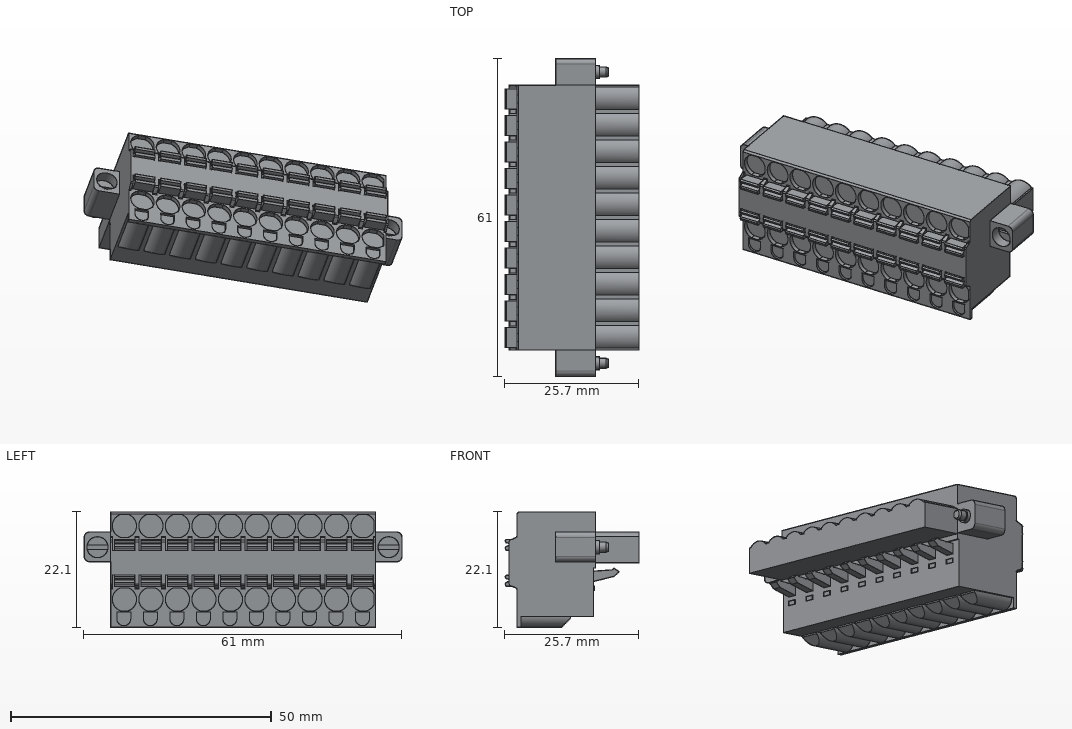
import cadquery as cq

overall_width = 60.95
overall_depth = 25.7
overall_height = 22.1

pole_count = 10
entry_shift = -0.1

body_width = 50.85
pole_pitch = body_width / pole_count
front_x = 2.25
back_x = 17.4
lower_back_x = 17.0
back_step_z = 11.35
floor_z = 2.1
lip_back_x = 3.05
edge_drop = 0.35
edge_run = 0.35

bulge_x = 0.75
bulge_mid_z = 12.4
bulge_half_height = 5.05
bulge_shoulder_half = 4.9
bulge_shoulder_x = 2.15
bulge_slope_half = 4.3
bulge_slope_x = 0.9
bulge_tip_half = 4.0

lever_width = 3.9
upper_lever_z = 14.75
lower_lever_z = 7.85
lever_height = 2.15
upper_tooth_tip = 0.25
upper_tooth_end = 0.7
groove_bottom = 0.9
lower_tooth_start = 1.4
lower_tooth_tip = 1.65
upper_bevel_run = 0.3
tooth_relief = 0.2
groove_x = 1.2
lever_slot_width = 4.25
lever_slot_shift = 0.1

entry_radius = 2.3
entry_flat_height = 4.4
entry_depth = 1.0
entry_end_wall = 0.35
upper_entry_z = 19.45
lower_entry_z = 5.35

test_radius = 1.35
test_centre_z = 1.65
test_top_z = 2.9
test_depth = 0.5
trough_back_x = 12.55
trough_bevel = 1.75

socket_bottom_z = 12.4
socket_top_z = 18.3
socket_arch_rise = 0.9
socket_arch_width = 4.3

flange_front_x = 9.7
flange_bottom_z = 12.55
flange_top_z = 18.3
flange_fillet = 1.05
screw_y = 27.9
screw_z = 15.35
head_radius = 2.0
head_recess = 2.3
drive_slot_width = 0.85
drive_slot_depth = 0.6
collar_radius = 1.3
collar_length = 0.75
shank_radius = 1.0
shank_end_x = 19.8
shank_bevel_length = 0.4
shank_bevel_inset = 0.2

hook_width = 1.8
hook_root_top_z = 10.8
hook_root_bottom_z = 8.8
hook_barb_x = 20.55
hook_barb_foot_z = 11.05
hook_barb_tip_x = 20.9
hook_barb_tip_z = 11.35
hook_nose_x = 21.9
hook_nose_z = 10.65
hook_chin_z = 9.75
ridge_top_z = 7.9
ridge_bottom_z = 7.1
ridge_depth = 0.2

pole_centres = [pole_pitch * (i - (pole_count - 1) / 2) for i in range(pole_count)]


def box(x0, x1, y0, y1, z0, z1):
    return cq.Workplane("XY").box(x1 - x0, y1 - y0, z1 - z0, centered=False).translate((x0, y0, z0))


def rod(x0, x1, y, z, radius):
    return cq.Workplane("YZ", origin=(x0, y, z)).circle(radius).extrude(x1 - x0)


def extrude_profile(points, y_centre, width):
    """Extrude an XZ outline symmetrically about y_centre."""
    plane = cq.Workplane("XZ", origin=(0, y_centre, 0))
    return plane.polyline(points).close().extrude(width / 2, both=True)


def housing():
    half_outline = [
        (front_x, bulge_half_height),
        (bulge_shoulder_x, bulge_shoulder_half),
        (bulge_slope_x, bulge_slope_half),
        (bulge_x, bulge_tip_half),
    ]
    bulge_top = [(x, bulge_mid_z + h) for x, h in half_outline]
    bulge_bottom = [(x, bulge_mid_z - h) for x, h in reversed(half_outline)]
    back_and_top = [
        (front_x, 0),
        (lip_back_x, 0),
        (lip_back_x, floor_z),
        (lower_back_x, floor_z),
        (lower_back_x, back_step_z),
        (back_x, back_step_z),
        (back_x, overall_height),
        (front_x + edge_run, overall_height),
        (front_x, overall_height - edge_drop),
    ]
    return extrude_profile(bulge_top + bulge_bottom + back_and_top, 0, body_width)


def lever_slot(y, z0, z1):
    """Clearance pocket for a lever, between heights z0 and z1."""
    y0 = y + lever_slot_shift - lever_slot_width / 2
    return box(0, front_x, y0, y0 + lever_slot_width, z0, z1)


def lever(y, bottom_z):
    """Lever with two pointed teeth and a sloping screwdriver groove between them."""
    top_z = bottom_z + lever_height
    outline = [
        (front_x, top_z),
        (upper_bevel_run, top_z),
        (0, top_z - upper_tooth_tip),
        (tooth_relief, top_z - upper_tooth_end),
        (groove_x, top_z - groove_bottom),
        (tooth_relief, top_z - lower_tooth_start),
        (0, top_z - lower_tooth_tip),
        (tooth_relief, bottom_z),
        (front_x, bottom_z),
    ]
    return extrude_profile(outline, y, lever_width)


def wire_entry(y, z):
    bore = rod(front_x, front_x + entry_depth, y, z, entry_radius)
    half = entry_flat_height / 2
    y_low = max(y - entry_radius, entry_end_wall - body_width / 2)
    band = box(0, back_x, y_low, y + entry_radius, z - half, z + half)
    return bore.intersect(band)


def trough(y):
    """Half-round trough hanging under the housing, with a bevelled back end."""
    envelope = [
        (front_x, 0),
        (trough_back_x - trough_bevel, 0),
        (trough_back_x, trough_bevel),
        (trough_back_x, floor_z),
        (front_x, floor_z),
    ]
    full_round = rod(front_x, trough_back_x, y, floor_z, floor_z)
    return full_round.intersect(extrude_profile(envelope, y, 2 * floor_z))


def test_opening(y):
    return (
        cq.Workplane("YZ", origin=(front_x, y, test_centre_z))
        .moveTo(-test_radius, 0)
        .threePointArc((0, -test_radius), (test_radius, 0))
        .lineTo(test_radius, test_top_z - test_centre_z)
        .lineTo(-test_radius, test_top_z - test_centre_z)
        .close()
        .extrude(test_depth)
    )


def socket_row():
    shoulder_z = socket_top_z - socket_arch_rise
    half_body = body_width / 2
    half_arch = socket_arch_width / 2
    outline = cq.Workplane("YZ", origin=(back_x, 0, 0)).moveTo(-half_body, socket_bottom_z)
    outline = outline.lineTo(-half_body, shoulder_z)
    for y in pole_centres:
        outline = outline.lineTo(y - half_arch, shoulder_z)
        outline = outline.threePointArc((y, socket_top_z), (y + half_arch, shoulder_z))
    outline = outline.lineTo(half_body, shoulder_z).lineTo(half_body, socket_bottom_z).close()
    return outline.extrude(overall_depth - back_x)


def flange():
    """Screw flange on the +Y end, with a slotted screw head and a stub of the screw."""
    block = box(flange_front_x, back_x, body_width / 2, overall_width / 2, flange_bottom_z, flange_top_z)
    block = block.edges("|X and >Y").fillet(flange_fillet)
    head_x = flange_front_x + head_recess
    block = block.cut(rod(flange_front_x, head_x, screw_y, screw_z, head_radius))
    drive_slot = box(
        head_x,
        head_x + drive_slot_depth,
        screw_y - head_radius,
        screw_y + head_radius,
        screw_z - drive_slot_width / 2,
        screw_z + drive_slot_width / 2,
    )
    collar = rod(back_x, back_x + collar_length, screw_y, screw_z, collar_radius)
    shank = rod(back_x, shank_end_x, screw_y, screw_z, shank_radius)
    shank = shank.faces(">X").chamfer(shank_bevel_length, shank_bevel_inset)
    return block.cut(drive_slot).union(collar).union(shank)


def hook(y):
    """Springy latch arm ending in a barbed nose."""
    outline = [
        (lower_back_x, hook_root_top_z),
        (hook_barb_x, hook_barb_foot_z),
        (hook_barb_tip_x, hook_barb_tip_z),
        (hook_nose_x, hook_nose_z),
        (hook_barb_tip_x, hook_chin_z),
        (lower_back_x, hook_root_bottom_z),
    ]
    return extrude_profile(outline, y, hook_width)


def ridge(y):
    half = hook_width / 2
    return box(lower_back_x, lower_back_x + ridge_depth, y - half, y + half, ridge_bottom_z, ridge_top_z)


slots = []
added_parts = [flange(), flange().mirror("XZ")]
openings = []
for pole_y in pole_centres:
    entry_y = pole_y + entry_shift
    slots.append(lever_slot(entry_y, upper_lever_z, bulge_mid_z + bulge_half_height))
    slots.append(lever_slot(entry_y, bulge_mid_z - bulge_half_height, lower_lever_z + lever_height))
    added_parts += [lever(entry_y, upper_lever_z), lever(entry_y, lower_lever_z)]
    added_parts += [trough(pole_y), hook(pole_y), ridge(pole_y)]
    openings += [wire_entry(entry_y, upper_entry_z), wire_entry(entry_y, lower_entry_z)]
    openings.append(test_opening(pole_y))

solid = housing().union(socket_row()).val()
solid = solid.cut(*[slot.val() for slot in slots])
solid = solid.fuse(*[part.val() for part in added_parts])
solid = solid.cut(*[opening.val() for opening in openings])
result = cq.Workplane("XY").newObject(solid.clean().Solids())